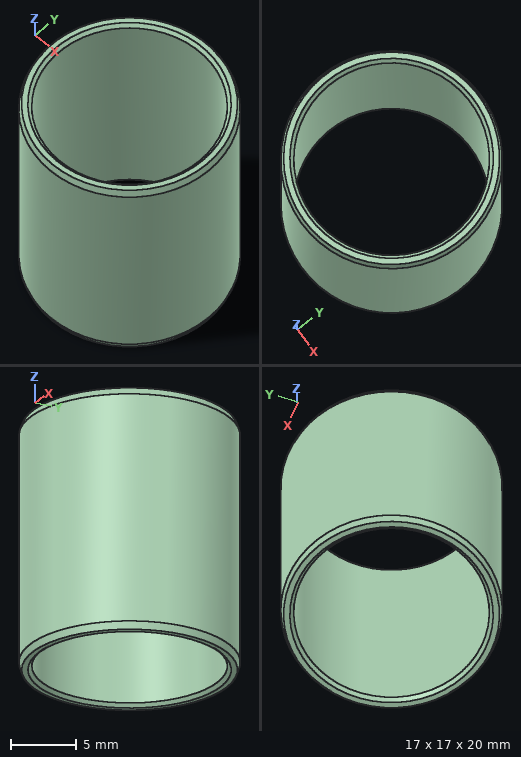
import cadquery as cq
import math

length = 20.0
outer_radius = 8.5
bore_radius = 7.5

outer_chamfer_height = 0.6
outer_chamfer_angle = 20.0
bore_chamfer = 0.3

outer_chamfer_depth = outer_chamfer_height * math.tan(math.radians(outer_chamfer_angle))
rim_outer_radius = outer_radius - outer_chamfer_depth
rim_inner_radius = bore_radius + bore_chamfer

wall_section = [
    (rim_inner_radius, 0),
    (rim_outer_radius, 0),
    (outer_radius, outer_chamfer_height),
    (outer_radius, length - outer_chamfer_height),
    (rim_outer_radius, length),
    (rim_inner_radius, length),
    (bore_radius, length - bore_chamfer),
    (bore_radius, bore_chamfer),
]

result = cq.Workplane("XZ").polyline(wall_section).close().revolve(360, (0, 0), (0, 1))